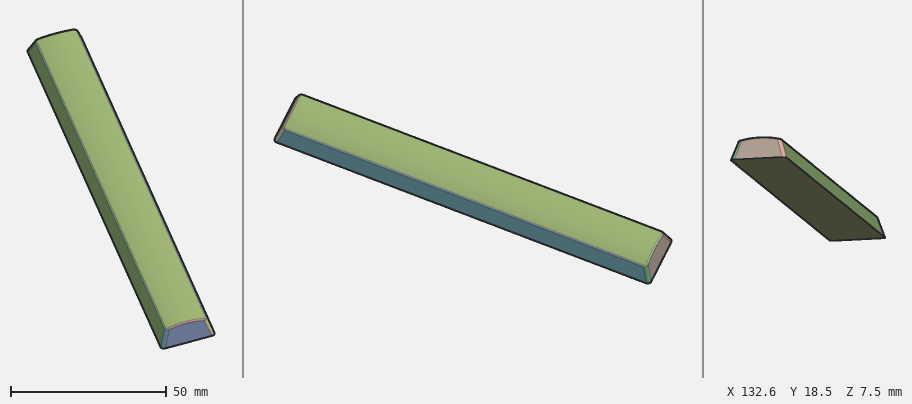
import cadquery as cq

length = 132.6
width = 18.46
height = 7.5

draft_angle = 17.75
corner_radius = 1.3
crown_radius = 26.0
top_edge_radius = 0.6


def tapered_block():
    """Rectangular block with leaning sides and rounded corners."""
    block = cq.Workplane("XY").rect(length, width).extrude(height, taper=draft_angle)
    sloping_edges = block.edges("not(|X or |Y)")
    return sloping_edges.fillet(corner_radius)


def crown_cylinder():
    """Cylinder along X whose highest line lies at the full height."""
    return (
        cq.Workplane("YZ")
        .center(0, height - crown_radius)
        .circle(crown_radius)
        .extrude(length / 2, both=True)
    )


def round_top_edges(bar):
    """Round the whole rim of the crowned top face."""
    crown_rim = bar.faces("%CYLINDER").faces(">Z").edges()
    return crown_rim.fillet(top_edge_radius)


crowned_bar = tapered_block().intersect(crown_cylinder())
result = round_top_edges(crowned_bar)